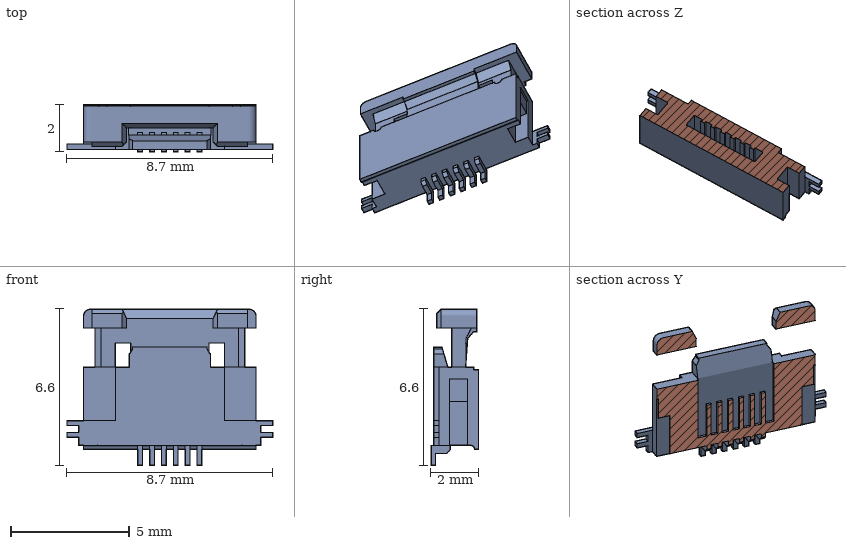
import cadquery as cq
import math

OVERLAP = 0.05

BODY_WIDTH = 7.3
BODY_BACK = 1.9
BODY_TOP = 3.31
LIP_DROP = 0.16
LIP_THICKNESS = 0.17
TOP_STEP_DEPTH = 0.2
TOP_STEP_DROP = 0.11
TOP_STEP_Z = BODY_TOP - TOP_STEP_DROP
TROUGH_X = 2.82
TROUGH_WIDTH = 0.34

PLATE_WIDTH = 7.7
PLATE_TOP = 1.05
PLATE_THICKNESS = 0.24
CENTER_WIDTH = 4.6
TAB_SPAN = 8.7
TAB_HEIGHT = 0.21
TAB_BOTTOMS = (0.34, PLATE_TOP - TAB_HEIGHT)

TONGUE_WIDTH = 3.44
TONGUE_TOP_WIDTH = 3.14
TONGUE_TOP = 4.15
TONGUE_SHOULDER = 3.86
TONGUE_NECK = 4.07
TONGUE_BASE_DEPTH = 0.61
TONGUE_TOP_DEPTH = 0.36

SLOT_WIDTH = 3.48
SLOT_BACK = 1.46
SLOT_BOTTOM = 0.5
SLOT_LEAD_IN = 0.26

CAP_WIDTH = BODY_WIDTH
CAP_FRONT = 0.13
CAP_BACK = 1.83
CAP_BOTTOM = 4.96
CAP_TOP = 5.76
CAP_ROUND = 0.31
CAP_BEVEL = 0.19
CAP_LOBE_SPAN = 6.58
WEB_FRONT = 0.92
WEB_BOTTOM = 4.32
NOTCH_WIDTH = 3.66
NOTCH_FLARE = 0.19
NOTCH_FLARE_HEIGHT = 0.39
BLADE_WIDTH = 3.31
BLADE_BOTTOM = 3.43
HEEL_BOTTOM = 4.8
HEEL_DEPTH = 0.14
BLADE_KNEE_Y = 1.45
BLADE_KNEE_Z = 4.52
POST_OUTER = 3.17
POST_RIDGE_INNER = 2.91
POST_INNER = CENTER_WIDTH / 2
POST_FRONT = 0.76
POST_BACK = 1.37
POST_FLARE = 0.23

POCKET_FRONT = 0.68
POCKET_BACK = 1.43
POCKET_TOP = 2.8
POCKET_INNER = 3.05
LUG_BOTTOM = 1.86
LUG_INSET = 0.07

PIN_COUNT = 6
PIN_PITCH = 0.5
PIN_WIDTH = 0.21
PIN_FRONT = -0.1
PIN_THICKNESS = 0.19
PIN_BACK = 0.71
PIN_BEVEL = 0.16
PIN_FOOT_DROP = 0.34
PIN_TIP = -0.84
CONTACT_TOP = 2.0


def block(x_range, y_range, z_range):
    """Box spanning the given (low, high) ranges."""
    sizes = [high - low for low, high in (x_range, y_range, z_range)]
    corner = (x_range[0], y_range[0], z_range[0])
    return cq.Workplane("XY").box(*sizes, centered=False).translate(corner)


def centered_block(width, y_range, z_range):
    """Box centered on X = 0."""
    return block((-width / 2, width / 2), y_range, z_range)


def side_profile(points, width):
    """Closed (Y, Z) outline extruded symmetrically about X = 0."""
    return cq.Workplane("YZ").polyline(points).close().extrude(width / 2, both=True)


def both_sides(shape):
    """The shape together with its mirror image across X = 0."""
    return shape.union(shape.mirror("YZ"))


def make_trough():
    """Round-bottomed trough running back from a post across the top of the housing."""
    radius = TROUGH_WIDTH / 2
    return (
        cq.Workplane("XZ", origin=(TROUGH_X, POST_BACK, TOP_STEP_Z))
        .moveTo(-radius, TOP_STEP_DROP)
        .lineTo(-radius, 0)
        .threePointArc((0, -radius), (radius, 0))
        .lineTo(radius, TOP_STEP_DROP)
        .close()
        .extrude(POST_BACK - BODY_BACK)
    )


def make_housing():
    lip_front = BODY_BACK - LIP_THICKNESS
    arc_drop = LIP_DROP * (1 - math.cos(math.pi / 4))
    outline = (
        cq.Workplane("YZ")
        .moveTo(PLATE_THICKNESS, 0)
        .lineTo(lip_front - LIP_DROP, 0)
        .threePointArc((lip_front - arc_drop, -arc_drop), (lip_front, -LIP_DROP))
        .lineTo(BODY_BACK, -LIP_DROP)
        .lineTo(BODY_BACK, TOP_STEP_Z)
        .lineTo(BODY_BACK - TOP_STEP_DEPTH, TOP_STEP_Z)
        .lineTo(BODY_BACK - TOP_STEP_DEPTH, BODY_TOP)
        .lineTo(PLATE_THICKNESS, BODY_TOP)
        .close()
    )
    housing = outline.extrude(BODY_WIDTH / 2, both=True)
    front_depth = (0, PLATE_THICKNESS + OVERLAP)
    housing = housing.union(centered_block(CENTER_WIDTH, front_depth, (0, BODY_TOP)))
    slot = side_profile(
        [
            (TONGUE_BASE_DEPTH, SLOT_BOTTOM),
            (SLOT_BACK - SLOT_LEAD_IN, SLOT_BOTTOM),
            (SLOT_BACK - SLOT_LEAD_IN, BODY_TOP - SLOT_LEAD_IN),
            (SLOT_BACK, BODY_TOP),
            (TONGUE_BASE_DEPTH, BODY_TOP),
        ],
        SLOT_WIDTH,
    )
    pocket = block((POCKET_INNER, BODY_WIDTH / 2), (POCKET_FRONT, POCKET_BACK), (0, POCKET_TOP))
    return housing.cut(slot).cut(both_sides(pocket)).cut(both_sides(make_trough()))


def make_plate():
    depth = (0, PLATE_THICKNESS)
    plate = centered_block(PLATE_WIDTH, depth, (0, PLATE_TOP))
    for bottom in TAB_BOTTOMS:
        plate = plate.union(centered_block(TAB_SPAN, depth, (bottom, bottom + TAB_HEIGHT)))
    return plate


def make_tongue():
    wedge = side_profile(
        [
            (0, BODY_TOP - OVERLAP),
            (TONGUE_BASE_DEPTH, BODY_TOP - OVERLAP),
            (TONGUE_BASE_DEPTH, BODY_TOP),
            (TONGUE_TOP_DEPTH, TONGUE_TOP),
            (0, TONGUE_TOP),
        ],
        TONGUE_WIDTH,
    )
    half = TONGUE_WIDTH / 2
    top_half = TONGUE_TOP_WIDTH / 2
    corner = (
        cq.Workplane("XZ")
        .moveTo(half, TONGUE_SHOULDER)
        .lineTo(top_half, TONGUE_NECK)
        .lineTo(top_half, TONGUE_TOP)
        .lineTo(half, TONGUE_TOP)
        .close()
        .extrude(-TONGUE_BASE_DEPTH)
    )
    return wedge.cut(both_sides(corner))


def make_cap():
    bevel_back = CAP_FRONT + CAP_BEVEL
    cap = centered_block(CAP_WIDTH, (bevel_back, CAP_BACK), (CAP_BOTTOM, CAP_TOP))
    cap = cap.edges("|Y and >Z").fillet(CAP_ROUND)
    lobes = centered_block(CAP_LOBE_SPAN, (CAP_FRONT, bevel_back + OVERLAP), (CAP_BOTTOM, CAP_TOP))
    bevel = side_profile(
        [(CAP_FRONT, CAP_TOP - CAP_BEVEL), (bevel_back, CAP_TOP), (CAP_FRONT, CAP_TOP)],
        CAP_LOBE_SPAN,
    )
    return cap.union(lobes.cut(bevel))


def make_notch():
    """Finger notch in the cap, flared at the top and at the front corners."""
    half = NOTCH_WIDTH / 2
    flared = half + NOTCH_FLARE
    notch = centered_block(NOTCH_WIDTH, (CAP_FRONT, WEB_FRONT), (CAP_BOTTOM, CAP_TOP))
    flare_bottom = CAP_TOP - NOTCH_FLARE_HEIGHT
    depth = WEB_FRONT - CAP_FRONT
    flare = (
        cq.Workplane("XY", origin=(0, CAP_FRONT, flare_bottom))
        .rect(NOTCH_WIDTH, 2 * depth)
        .workplane(offset=NOTCH_FLARE_HEIGHT)
        .rect(2 * flared, 2 * (depth + NOTCH_FLARE))
        .loft(ruled=True)
    )
    corner = (
        cq.Workplane("XY", origin=(0, 0, CAP_BOTTOM))
        .polyline([(half, CAP_FRONT), (flared, CAP_FRONT), (half, CAP_FRONT + CAP_BEVEL)])
        .close()
        .extrude(CAP_TOP - CAP_BOTTOM)
    )
    return notch.union(flare).union(both_sides(corner))


def make_blade():
    """Center blade of the slider, with a heel under the cap and a tapered back."""
    return side_profile(
        [
            (WEB_FRONT, BLADE_BOTTOM),
            (POST_BACK, BLADE_BOTTOM),
            (BLADE_KNEE_Y, BLADE_KNEE_Z),
            (CAP_BACK - HEEL_DEPTH, HEEL_BOTTOM),
            (CAP_BACK, HEEL_BOTTOM),
            (CAP_BACK, CAP_BOTTOM + OVERLAP),
            (WEB_FRONT, CAP_BOTTOM + OVERLAP),
        ],
        BLADE_WIDTH,
    )


def make_legs():
    """Web under the cap, and the two posts running down into the housing."""
    legs = side_profile(
        [
            (WEB_FRONT, BODY_TOP - OVERLAP),
            (POST_BACK, BODY_TOP - OVERLAP),
            (POST_BACK, BLADE_KNEE_Z),
            (POST_BACK + POST_FLARE, CAP_BOTTOM),
            (POST_BACK + POST_FLARE, CAP_BOTTOM + OVERLAP),
            (WEB_FRONT, CAP_BOTTOM + OVERLAP),
        ],
        2 * POST_OUTER,
    )
    window = centered_block(2 * POST_INNER, (WEB_FRONT, CAP_BACK), (BODY_TOP - OVERLAP, WEB_BOTTOM))
    ridge = block(
        (POST_RIDGE_INNER, POST_OUTER),
        (POST_FRONT, POST_BACK),
        (BODY_TOP - OVERLAP, CAP_BOTTOM + OVERLAP),
    )
    return legs.cut(window).union(both_sides(ridge))


def make_lugs():
    lug = block(
        (POCKET_INNER, BODY_WIDTH / 2 - LUG_INSET),
        (POCKET_FRONT, POCKET_BACK),
        (LUG_BOTTOM, POCKET_TOP),
    )
    return both_sides(lug)


def make_pin(x):
    """Contact at the given X, bent forward under the housing and down to a solder tail."""
    contact = side_profile(
        [
            (PIN_FRONT, PIN_TIP),
            (PIN_FRONT + PIN_THICKNESS, PIN_TIP),
            (PIN_FRONT + PIN_THICKNESS, -PIN_FOOT_DROP),
            (PIN_BACK - PIN_BEVEL, -PIN_FOOT_DROP),
            (PIN_BACK, -PIN_FOOT_DROP + PIN_BEVEL),
            (PIN_BACK, CONTACT_TOP),
            (TONGUE_BASE_DEPTH - OVERLAP, CONTACT_TOP),
            (TONGUE_BASE_DEPTH - OVERLAP, 0),
            (PIN_FRONT, 0),
        ],
        PIN_WIDTH,
    )
    return contact.translate((x, 0, 0))


def make_pins():
    first_x = -PIN_PITCH * (PIN_COUNT - 1) / 2
    pins = make_pin(first_x)
    for index in range(1, PIN_COUNT):
        pins = pins.union(make_pin(first_x + index * PIN_PITCH))
    return pins


cap = make_cap().cut(make_notch())
slider = cap.union(make_legs()).union(make_blade()).union(make_lugs())
result = make_housing().union(make_plate()).union(make_tongue()).union(slider).union(make_pins())